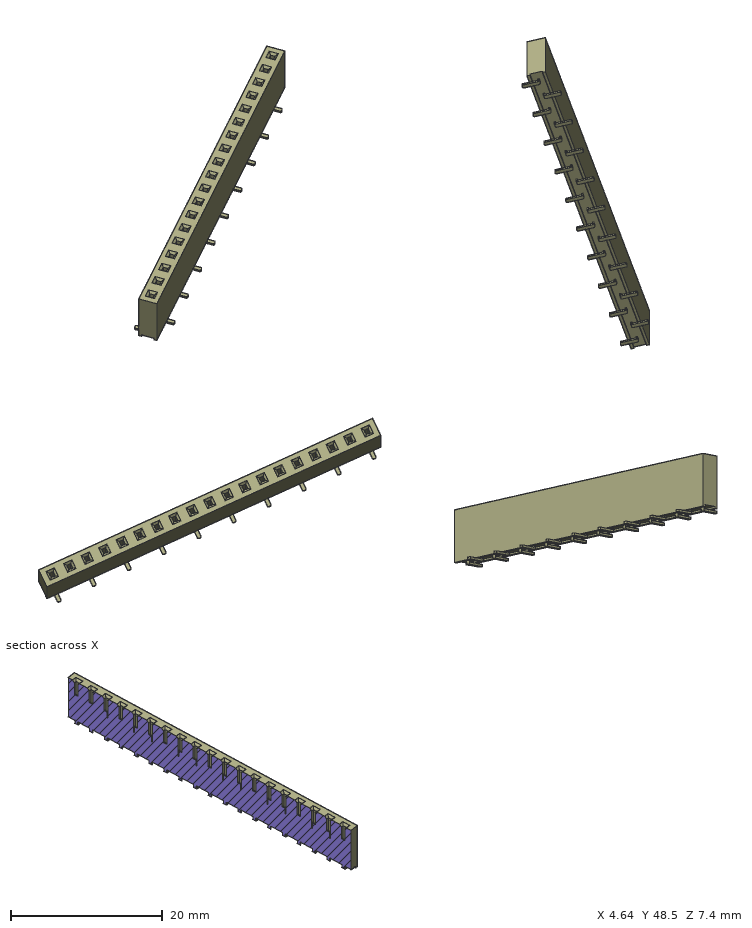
import cadquery as cq

contact_count = 19
pitch = 2.54
end_margin = 0.1

body_width = 2.54
body_length = contact_count * pitch + 2 * end_margin
overall_height = 7.4
standoff = 0.3
body_height = overall_height - standoff

channel_width = 1.7
channel_depth = 0.25

bore_size_x = 0.64
bore_size_y = 0.56
funnel_depth = 0.32
mouth_size_x = bore_size_x + 2 * funnel_depth
mouth_size_y = bore_size_y + 2 * funnel_depth
bore_depth = 3.0

lead_span = 4.64
lead_width = 0.53
foot_thickness = standoff
blade_thickness = 0.2
blade_rise = 1.0
outer_bend_radius = 0.25
tip_bulge = 0.1


def make_body():
    """Long rectangular housing with a full-length channel underneath."""
    body = (
        cq.Workplane("XY")
        .workplane(offset=standoff)
        .rect(body_width, body_length)
        .extrude(body_height)
    )
    channel = (
        cq.Workplane("XY")
        .workplane(offset=standoff)
        .rect(channel_width, body_length)
        .extrude(channel_depth)
    )
    return body.cut(channel)


def make_socket(y):
    """Cutter for one socket: a tapered lead-in above a blind rectangular bore."""
    funnel = (
        cq.Workplane("XY")
        .workplane(offset=overall_height)
        .center(0, y)
        .rect(mouth_size_x, mouth_size_y)
        .workplane(offset=-funnel_depth)
        .rect(bore_size_x, bore_size_y)
        .loft(combine=True)
    )
    bore = (
        cq.Workplane("XY")
        .workplane(offset=overall_height - funnel_depth)
        .center(0, y)
        .rect(bore_size_x, bore_size_y)
        .extrude(-bore_depth)
    )
    return funnel.union(bore)


def make_lead(y, side):
    """Lead with a flat round-tipped foot toward side (-1 or +1) in X and a blade standing up in the bore."""
    bend_x = -side * blade_thickness / 2
    tip_x = side * lead_span / 2
    tip_corner_x = tip_x - side * tip_bulge
    foot = (
        cq.Workplane("XY", origin=(0, y, 0))
        .moveTo(bend_x, -lead_width / 2)
        .lineTo(tip_corner_x, -lead_width / 2)
        .threePointArc((tip_x, 0), (tip_corner_x, lead_width / 2))
        .lineTo(bend_x, lead_width / 2)
        .close()
        .extrude(foot_thickness)
    )
    blade_top = overall_height - funnel_depth - bore_depth + blade_rise
    blade = (
        cq.Workplane("XY", origin=(0, y, 0))
        .rect(blade_thickness, lead_width)
        .extrude(blade_top)
    )
    outer_corner = cq.selectors.NearestToPointSelector((bend_x, y, 0))
    return foot.union(blade).edges("|Y").edges(outer_corner).fillet(outer_bend_radius)


result = make_body()
first_contact_y = (contact_count - 1) * pitch / 2
for index in range(contact_count):
    contact_y = first_contact_y - index * pitch
    foot_side = -1 if index % 2 == 0 else 1
    result = result.cut(make_socket(contact_y))
    result = result.union(make_lead(contact_y, foot_side))